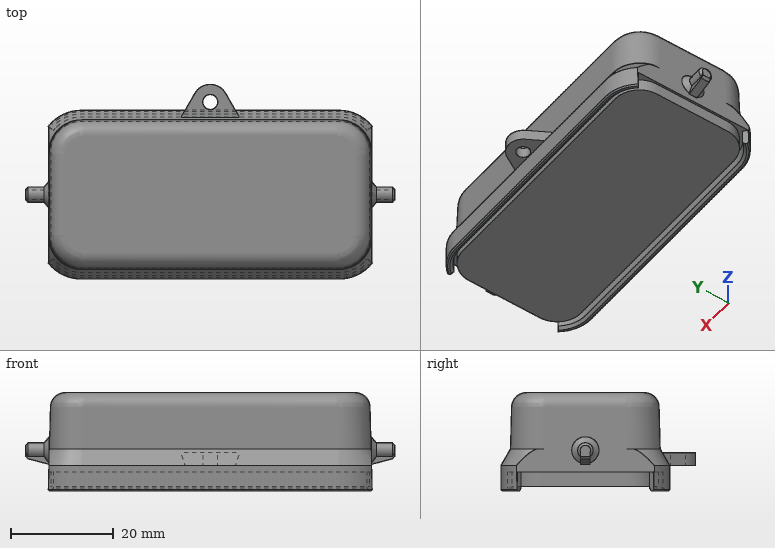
import cadquery as cq
import math

height = 19.2
end_half_x = 31.6
side_half_y = 14.8
draft_angle = 1.5
corner_radius = 6.5
top_fillet = 2.95

skirt_half_x = 33.4
skirt_half_y = 16.5
skirt_radius = 8.35
skirt_top_z = 5.0
flare_top_z = 8.2
skirt_wall = 1.3
skirt_outer_chamfer = 0.3
skirt_inner_chamfer = 0.6
end_wall_bottom_z = 3.7

rim_half_x = 31.1
rim_half_y = 14.25
rim_corner_radius = 5.75
rim_bottom_z = 0.9

pin_tip_x = 36.0
pin_z = 7.9
pin_radius = 1.5
pin_chamfer = 0.5
pin_cone_radius = 2.7
pin_cone_end_x = 32.4
rib_width = 1.9
rib_tip_bottom_z = 6.3
rib_root_bottom_z = 5.2

lug_bottom_z = skirt_top_z
lug_thickness = 2.5
lug_hole_y = 18.1
lug_hole_radius = 1.45
lug_tip_radius = 3.45
lug_half_width = 5.6
lug_flank_angle = 60.0

draft_slope = math.tan(math.radians(draft_angle))
hood_half_y_at_flare = side_half_y - flare_top_z * draft_slope
flare_overhang = skirt_half_y - hood_half_y_at_flare
flare_angle = math.degrees(math.atan2(flare_overhang, flare_top_z - skirt_top_z))
corner_center_x = skirt_half_x - skirt_radius
corner_center_y = skirt_half_y - skirt_radius


def rounded_block(half_x, half_y, radius, bottom, top):
    block = cq.Workplane("XY").workplane(offset=bottom).rect(2 * half_x, 2 * half_y).extrude(top - bottom)
    return block.edges("|Z").fillet(radius)


def drafted_block(half_y):
    """Sharp-cornered block leaning inward on all four sides, as long as the hood."""
    return cq.Workplane("XY").rect(2 * end_half_x, 2 * half_y).extrude(height, taper=draft_angle)


def make_hood():
    hood = drafted_block(side_half_y).edges("not(|X or |Y)").fillet(corner_radius)
    hood = hood.faces(">Z").edges().fillet(top_fillet)
    below = cq.Workplane("XY").rect(2 * end_half_x, 2 * side_half_y).extrude(end_wall_bottom_z)
    return hood.cut(below)


def make_skirt():
    """Skirt and flare, cut off flush with the drafted ends of the hood."""
    skirt = rounded_block(skirt_half_x, skirt_half_y, skirt_radius, 0, skirt_top_z)
    flare = skirt.faces(">Z").wires().toPending().workplane().extrude(
        flare_top_z - skirt_top_z, taper=flare_angle, combine=False
    )
    skirt = skirt.faces("<Z").edges().chamfer(skirt_outer_chamfer)
    cavity = rounded_block(
        skirt_half_x - skirt_wall, skirt_half_y - skirt_wall, skirt_radius - skirt_wall, 0, end_wall_bottom_z
    )
    skirt = skirt.cut(cavity)
    inner_edge = skirt.faces("<Z").wires(cq.selectors.LengthNthSelector(0)).edges()
    skirt = inner_edge.chamfer(skirt_inner_chamfer).union(flare)
    return skirt.intersect(drafted_block(2 * skirt_half_y))


def make_end_opening(side):
    """Wedge that ends the skirt along radial faces where its corners meet the end plane."""
    reach_x = 2 * skirt_radius
    run_x = end_half_x - corner_center_x
    run_y = math.sqrt(skirt_radius**2 - run_x**2)
    reach_y = reach_x * run_y / run_x
    outline = [
        (side * corner_center_x, -corner_center_y),
        (side * (corner_center_x + reach_x), -corner_center_y - reach_y),
        (side * (corner_center_x + reach_x), corner_center_y + reach_y),
        (side * corner_center_x, corner_center_y),
    ]
    return cq.Workplane("XY").polyline(outline).close().extrude(end_wall_bottom_z)


def make_pin(side):
    """Pin with chamfered tip, conical root and a supporting rib underneath."""
    root_x = end_half_x - pin_z * draft_slope
    buried_x = corner_center_x
    profile = [
        (buried_x, pin_z),
        (buried_x, pin_z + pin_cone_radius),
        (root_x, pin_z + pin_cone_radius),
        (pin_cone_end_x, pin_z + pin_radius),
        (pin_tip_x - pin_chamfer, pin_z + pin_radius),
        (pin_tip_x, pin_z + pin_radius - pin_chamfer),
        (pin_tip_x, pin_z),
    ]
    pin = cq.Workplane("XZ").polyline(profile).close().revolve(360, (0, pin_z), (1, pin_z))
    rib_outline = [
        (buried_x, pin_z),
        (buried_x, rib_root_bottom_z),
        (root_x, rib_root_bottom_z),
        (pin_tip_x - pin_chamfer, rib_tip_bottom_z),
        (pin_tip_x, rib_tip_bottom_z + pin_chamfer),
        (pin_tip_x, pin_z),
    ]
    rib = cq.Workplane("XZ").polyline(rib_outline).close().extrude(rib_width / 2, both=True)
    pin = pin.union(rib)
    return pin if side > 0 else pin.mirror("YZ")


def make_lug():
    """Lug with a round tip tangent to two slanted flanks."""
    flank = math.radians(lug_flank_angle)
    tangent_x = lug_tip_radius * math.sin(flank)
    tangent_y = lug_hole_y + lug_tip_radius * math.cos(flank)
    shoulder_y = tangent_y - (lug_half_width - tangent_x) * math.tan(flank)
    return (
        cq.Workplane("XY")
        .workplane(offset=lug_bottom_z)
        .moveTo(-lug_half_width, corner_center_y)
        .lineTo(-lug_half_width, shoulder_y)
        .lineTo(-tangent_x, tangent_y)
        .threePointArc((0, lug_hole_y + lug_tip_radius), (tangent_x, tangent_y))
        .lineTo(lug_half_width, shoulder_y)
        .lineTo(lug_half_width, corner_center_y)
        .close()
        .extrude(lug_thickness)
    )


def make_lug_hole():
    hole = cq.Workplane("XY").workplane(offset=lug_bottom_z).center(0, lug_hole_y)
    return hole.circle(lug_hole_radius).extrude(lug_thickness)


skirt = make_skirt()
for side in (-1, 1):
    skirt = skirt.cut(make_end_opening(side))

rim = rounded_block(rim_half_x, rim_half_y, rim_corner_radius, rim_bottom_z, skirt_top_z)
result = make_hood().union(skirt).union(rim)
for side in (-1, 1):
    result = result.union(make_pin(side))
result = result.union(make_lug()).cut(make_lug_hole())